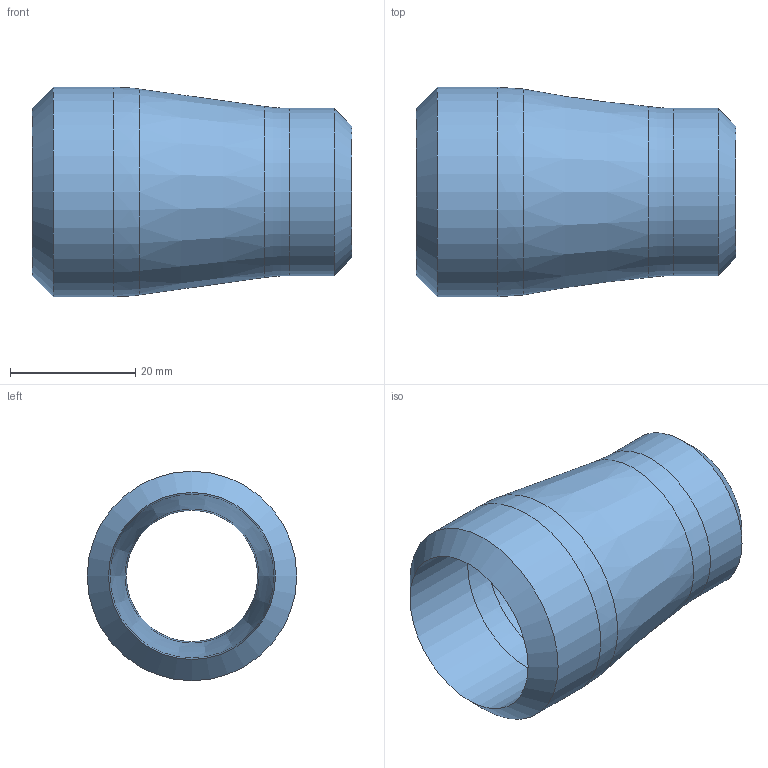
import cadquery as cq
import math

length = 51.0
wide_radius = 33.4 / 2
wide_wall = 3.38
narrow_radius = 26.7 / 2
narrow_wall = 2.87

wide_bevel_length = wide_wall
narrow_bevel_length = 2.8

taper_start = 13.0
taper_end = 41.1
blend_length = 4.1
slope_iterations = 20

wide_bore_radius = wide_radius - wide_wall
narrow_bore_radius = narrow_radius - narrow_wall


def taper_slope(drop):
    """Angle of the straight middle for a taper that loses the given radius.

    Each blend drops blend_length * tan(slope / 2) and the middle drops the rest.
    The angle is found by repeated substitution.
    """
    straight = taper_end - taper_start - 2 * blend_length
    slope = 0.0
    for _ in range(slope_iterations):
        blend_drop = 2 * blend_length * math.tan(slope / 2)
        slope = math.atan((drop - blend_drop) / straight)
    return slope


def add_taper(outline, start_radius, end_radius):
    """Extend an outline that has reached the taper's start along its blends and straight middle."""
    slope = taper_slope(start_radius - end_radius)
    blend_radius = blend_length / math.sin(slope)
    blend_drop = blend_radius * (1 - math.cos(slope))
    mid_length = blend_radius * math.sin(slope / 2)
    mid_drop = blend_radius * (1 - math.cos(slope / 2))
    return (
        outline.threePointArc(
            (taper_start + mid_length, start_radius - mid_drop),
            (taper_start + blend_length, start_radius - blend_drop),
        )
        .lineTo(taper_end - blend_length, end_radius + blend_drop)
        .threePointArc(
            (taper_end - mid_length, end_radius + mid_drop),
            (taper_end, end_radius),
        )
    )


def revolve_about_x(outline):
    """Close an outline along the axis and turn it into a solid."""
    return outline.lineTo(length, 0).close().revolve(360, (0, 0, 0), (1, 0, 0))


def make_outside():
    outline = (
        cq.Workplane("XZ")
        .lineTo(0, wide_bore_radius)
        .lineTo(wide_bevel_length, wide_radius)
        .lineTo(taper_start, wide_radius)
    )
    outline = (
        add_taper(outline, wide_radius, narrow_radius)
        .lineTo(length - narrow_bevel_length, narrow_radius)
        .lineTo(length, narrow_bore_radius)
    )
    return revolve_about_x(outline)


def make_bore():
    outline = cq.Workplane("XY").lineTo(0, wide_bore_radius).lineTo(taper_start, wide_bore_radius)
    outline = add_taper(outline, wide_bore_radius, narrow_bore_radius).lineTo(length, narrow_bore_radius)
    return revolve_about_x(outline)


result = make_outside().cut(make_bore())